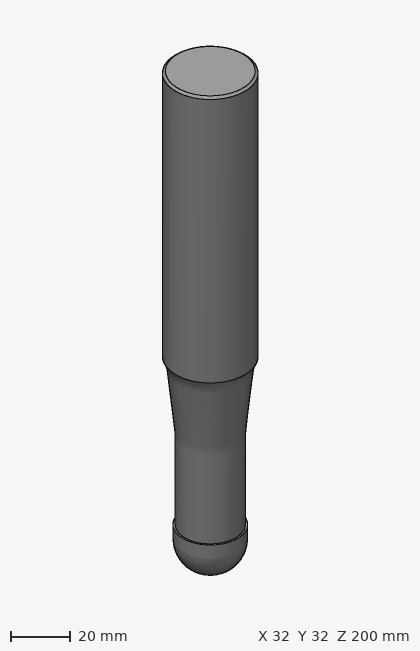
import cadquery as cq
import math

total_length = 200.0

ball_diameter = 25.0
ball_radius = ball_diameter / 2
head_top_z = 18.0

neck_radius = 11.8
neck_top_z = 53.5
taper_bottom_z = 56.5
taper_top_z = 80.5
taper_angle = 6.0
shank_radius = 16.0
shank_bottom_z = 85.4
end_chamfer_width = 1.0
end_chamfer_height = 0.8

taper_slope = math.tan(math.radians(taper_angle))
blend_rise = taper_bottom_z - neck_top_z
taper_bottom_radius = neck_radius + blend_rise * math.tan(math.radians(taper_angle / 2))
taper_top_radius = taper_bottom_radius + (taper_top_z - taper_bottom_z) * taper_slope


def make_ball_head():
    """Hemispherical tip with a short cylindrical collar."""
    arc_offset = ball_radius * math.sqrt(0.5)
    profile = (
        cq.Workplane("XZ")
        .moveTo(0, 0)
        .threePointArc((arc_offset, ball_radius - arc_offset), (ball_radius, ball_radius))
        .lineTo(ball_radius, head_top_z)
        .lineTo(0, head_top_z)
        .close()
    )
    return profile.revolve(360, (0, 0), (0, 1))


def make_holder():
    """Neck, taper and shank, with concave blends at both ends of the taper."""
    profile = (
        cq.Workplane("XZ")
        .moveTo(0, head_top_z)
        .lineTo(neck_radius, head_top_z)
        .lineTo(neck_radius, neck_top_z)
        .tangentArcPoint((taper_bottom_radius, taper_bottom_z), relative=False)
        .lineTo(taper_top_radius, taper_top_z)
        .tangentArcPoint((shank_radius, shank_bottom_z), relative=False)
        .lineTo(shank_radius, total_length - end_chamfer_height)
        .lineTo(shank_radius - end_chamfer_width, total_length)
        .lineTo(0, total_length)
        .close()
    )
    return profile.revolve(360, (0, 0), (0, 1))


ball_head = make_ball_head()
holder = make_holder()

result = cq.Compound.makeCompound([ball_head.val(), holder.val()])